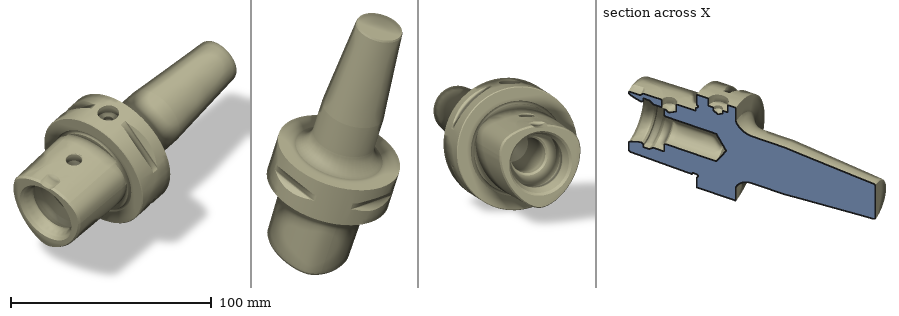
import cadquery as cq
import math

SHANK_LENGTH = 38.0
TOTAL_LENGTH = 138
NOSE_Y = TOTAL_LENGTH - SHANK_LENGTH

FLANGE_R = 63.0 / 2
FLANGE_LENGTH = 22.1
FLANGE_CHAMFER = 0.4
NECK_R = 16.0
NECK_FILLET_R = 9.7
NECK_FILLET_LENGTH = 9.1
NECK_END_Y = 49.1
NOSE_R = 12.0
NOSE_CHAMFER_LENGTH = 1.0
NOSE_CHAMFER_DEPTH = 0.4

LOBES = 3
LOBE_MEAN_R = 44.0 / 2
LOBE_ECCENTRICITY = 1.7
SHANK_TAPER = 1 / 45
RELIEF_LENGTH = 2.1
RELIEF_R = 22.6
COLLAR_HEIGHT = 0.5
FACE_GROOVE_R = 0.8
SHANK_CHAMFER_LENGTH = 1.2
SHANK_CHAMFER_DEPTH = 0.7

MOUTH_R = 16.4
MOUTH_CHAMFER_R = 15.3
MOUTH_CHAMFER_LENGTH = 1.5
LIP_R = 13.7
LIP_START_Y = -31.3
LIP_LENGTH = 0.8
LIP_BACK_CHAMFER = 0.8
GROOVE_R = 16.3
GROOVE_END_Y = -26.4
BORE_R = 14.5
BORE_START_Y = -24.2
BORE_END_Y = -18.2
CORE_R = 9.1
CORE_CHAMFER = 1.0
CORE_END_Y = 11
DRILL_HALF_ANGLE = 59

BAND_Y = 12.0
SLOT_FLOOR_DISTANCE = 27.9
SLOT_FLOOR_WIDTH = 3.6
SLOT_STEP = 1.0
SLOT_RIM_WIDTH = 7.7

CHIP_HOLE_R = 5.4
CHIP_HOLE_DEPTH = 5.0
PILOT_R = 2.5
PILOT_DEPTH = 2.1
SHANK_HOLE_Y = -15.3
SHANK_HOLE_R = 4.0
SHANK_HOLE_COUNTERSINK = 0.4
SHANK_HOLE_TIP_Z = 12.8

NOTCH_R = 6.9
NOTCH_FLOOR_Z = 18
NOTCH_LENGTH = 6.5


def drill_tip(radius):
    """Height of the conical bottom left by a drill."""
    return radius / math.tan(math.radians(DRILL_HALF_ANGLE))


def revolve_about_y(profile):
    """Close the profile and turn it around the holder axis."""
    return profile.close().revolve(360, (0, 0, 0), (0, 1, 0))


def lobe_wire(y, inset):
    """Three-lobed constant-width outline at height y, shrunk by inset; one lobe points to -Z."""
    mean = LOBE_MEAN_R - inset

    def point(angle):
        support = mean - LOBE_ECCENTRICITY * math.cos(LOBES * angle)
        slope = LOBES * LOBE_ECCENTRICITY * math.sin(LOBES * angle)
        x = support * math.sin(angle) + slope * math.cos(angle)
        z = support * math.cos(angle) - slope * math.sin(angle)
        return cq.Vector(x, y, z)

    def tangent(angle):
        return cq.Vector(math.cos(angle), 0, -math.sin(angle))

    side_count = 2 * LOBES
    span = 2 * math.pi / side_count
    steps = 8
    edges = []
    for side in range(side_count):
        start = (side - 0.5) * span
        points = [point(start + span * i / steps) for i in range(steps + 1)]
        edges.append(cq.Edge.makeSpline(points, tangents=[tangent(start), tangent(start + span)]))
    return cq.Wire.assembleEdges(edges)


def lobe_section(y_start, inset_start, y_end, inset_end):
    """Straight-sided piece of the shank between two outlines."""
    wires = [lobe_wire(y_start, inset_start), lobe_wire(y_end, inset_end)]
    return cq.Workplane(obj=cq.Solid.makeLoft(wires, True))


def turned_body():
    """Flange, filleted neck and tapered nose; the fillet meets the flange at a corner."""
    fillet_y = FLANGE_LENGTH + NECK_FILLET_LENGTH
    centre_r = NECK_R + NECK_FILLET_R

    def fillet_point(angle):
        return (centre_r - NECK_FILLET_R * math.cos(angle), fillet_y - NECK_FILLET_R * math.sin(angle))

    foot_angle = math.asin(NECK_FILLET_LENGTH / NECK_FILLET_R)
    profile = (
        cq.Workplane("XY")
        .moveTo(0, 0)
        .lineTo(FLANGE_R - FLANGE_CHAMFER, 0)
        .lineTo(FLANGE_R, FLANGE_CHAMFER)
        .lineTo(FLANGE_R, FLANGE_LENGTH)
        .lineTo(*fillet_point(foot_angle))
        .threePointArc(fillet_point(foot_angle / 2), fillet_point(0))
        .lineTo(NECK_R, NECK_END_Y)
        .lineTo(NOSE_R, NOSE_Y - NOSE_CHAMFER_LENGTH)
        .lineTo(NOSE_R - NOSE_CHAMFER_DEPTH, NOSE_Y)
        .lineTo(0, NOSE_Y)
    )
    return revolve_about_y(profile)


def collar():
    """Low round step where the shank meets the flange."""
    overlap = FACE_GROOVE_R
    base = cq.Workplane("XZ", origin=(0, overlap, 0))
    return base.circle(RELIEF_R).extrude(overlap + COLLAR_HEIGHT)


def face_groove():
    """Half-round ring groove in the flange face, just outside the collar."""
    profile = (
        cq.Workplane("XY")
        .moveTo(RELIEF_R, 0)
        .threePointArc((RELIEF_R + FACE_GROOVE_R, FACE_GROOVE_R), (RELIEF_R + 2 * FACE_GROOVE_R, 0))
    )
    return revolve_about_y(profile)


def shank():
    """Polygon shank: trimmed relief, tapered length and chamfered end."""
    chamfer_y = SHANK_CHAMFER_LENGTH - SHANK_LENGTH
    end_inset = SHANK_TAPER * (SHANK_LENGTH - SHANK_CHAMFER_LENGTH - RELIEF_LENGTH)
    relief_limit = cq.Workplane("XZ").circle(RELIEF_R).extrude(RELIEF_LENGTH)
    relief = lobe_section(0, 0, -RELIEF_LENGTH, 0).intersect(relief_limit)
    taper = lobe_section(-RELIEF_LENGTH, 0, chamfer_y, end_inset)
    tip = lobe_section(chamfer_y, end_inset, -SHANK_LENGTH, end_inset + SHANK_CHAMFER_DEPTH)
    return relief.union(taper).union(tip)


def bore():
    """Blind bore with a tapered mouth, a clamping groove behind a lip, and a drilled core."""
    profile = (
        cq.Workplane("XY")
        .moveTo(0, -SHANK_LENGTH)
        .lineTo(MOUTH_R, -SHANK_LENGTH)
        .lineTo(MOUTH_CHAMFER_R, MOUTH_CHAMFER_LENGTH - SHANK_LENGTH)
        .lineTo(LIP_R, LIP_START_Y)
        .lineTo(LIP_R, LIP_START_Y + LIP_LENGTH)
        .lineTo(LIP_R + LIP_BACK_CHAMFER, LIP_START_Y + LIP_LENGTH + LIP_BACK_CHAMFER)
        .lineTo(GROOVE_R, LIP_START_Y + LIP_LENGTH + LIP_BACK_CHAMFER)
        .lineTo(GROOVE_R, GROOVE_END_Y)
        .lineTo(BORE_R, BORE_START_Y)
        .lineTo(BORE_R, BORE_END_Y)
        .lineTo(CORE_R + CORE_CHAMFER, BORE_END_Y)
        .lineTo(CORE_R, BORE_END_Y + CORE_CHAMFER)
        .lineTo(CORE_R, CORE_END_Y)
        .lineTo(0, CORE_END_Y + drill_tip(CORE_R))
    )
    return revolve_about_y(profile)


def gripper_slot(angle):
    """Straight flared slot across the flange rim, facing the given direction around Y."""
    half_floor = SLOT_FLOOR_WIDTH / 2
    half_rim = SLOT_RIM_WIDTH / 2
    step_top = SLOT_FLOOR_DISTANCE + SLOT_STEP
    section = [
        (BAND_Y - half_floor, SLOT_FLOOR_DISTANCE),
        (BAND_Y + half_floor, SLOT_FLOOR_DISTANCE),
        (BAND_Y + half_floor, step_top),
        (BAND_Y + half_rim, FLANGE_R),
        (BAND_Y - half_rim, FLANGE_R),
        (BAND_Y - half_floor, step_top),
    ]
    cutter = cq.Workplane("YZ").polyline(section).close().extrude(FLANGE_R, both=True)
    return cutter.rotate((0, 0, 0), (0, 1, 0), angle)


def vertical_hole(outline, y):
    """Turned cutter around a vertical line at y; the outline lists (radius, z) points."""
    profile = cq.Workplane("XZ").polyline(outline).close()
    return profile.revolve(360, (0, 0, 0), (0, 1, 0)).translate((0, y, 0))


def chip_hole():
    """Flat-bottomed pocket in the flange rim with a small drilled pilot in its floor."""
    floor_z = FLANGE_R - CHIP_HOLE_DEPTH
    pilot_z = floor_z - PILOT_DEPTH
    outline = [
        (0, FLANGE_R),
        (CHIP_HOLE_R, FLANGE_R),
        (CHIP_HOLE_R, floor_z),
        (PILOT_R, floor_z),
        (PILOT_R, pilot_z),
        (0, pilot_z - drill_tip(PILOT_R)),
    ]
    return vertical_hole(outline, BAND_Y)


def shank_hole():
    """Drilled hole in the shank flat with a small 45 degree countersink."""
    flat_z = LOBE_MEAN_R - LOBE_ECCENTRICITY + SHANK_TAPER * (SHANK_HOLE_Y + RELIEF_LENGTH)
    rim_r = SHANK_HOLE_R + SHANK_HOLE_COUNTERSINK
    outline = [
        (0, LOBE_MEAN_R),
        (rim_r, LOBE_MEAN_R),
        (rim_r, flat_z),
        (SHANK_HOLE_R, flat_z - SHANK_HOLE_COUNTERSINK),
        (SHANK_HOLE_R, SHANK_HOLE_TIP_Z + drill_tip(SHANK_HOLE_R)),
        (0, SHANK_HOLE_TIP_Z),
    ]
    return vertical_hole(outline, SHANK_HOLE_Y)


def orientation_notch():
    """Round-bottomed notch with a 45 degree conical run-out, along Y."""
    profile = (
        cq.Workplane("XY")
        .moveTo(0, -SHANK_LENGTH)
        .lineTo(NOTCH_R, -SHANK_LENGTH)
        .lineTo(NOTCH_R, NOTCH_LENGTH - SHANK_LENGTH)
        .lineTo(0, NOTCH_LENGTH + NOTCH_R - SHANK_LENGTH)
    )
    return revolve_about_y(profile).translate((0, 0, NOTCH_FLOOR_Z + NOTCH_R))


result = turned_body().cut(face_groove()).union(collar()).union(shank()).cut(bore())
for slot_angle in (45, 135, 225, 315):
    result = result.cut(gripper_slot(slot_angle))
result = result.cut(chip_hole()).cut(shank_hole()).cut(orientation_notch())